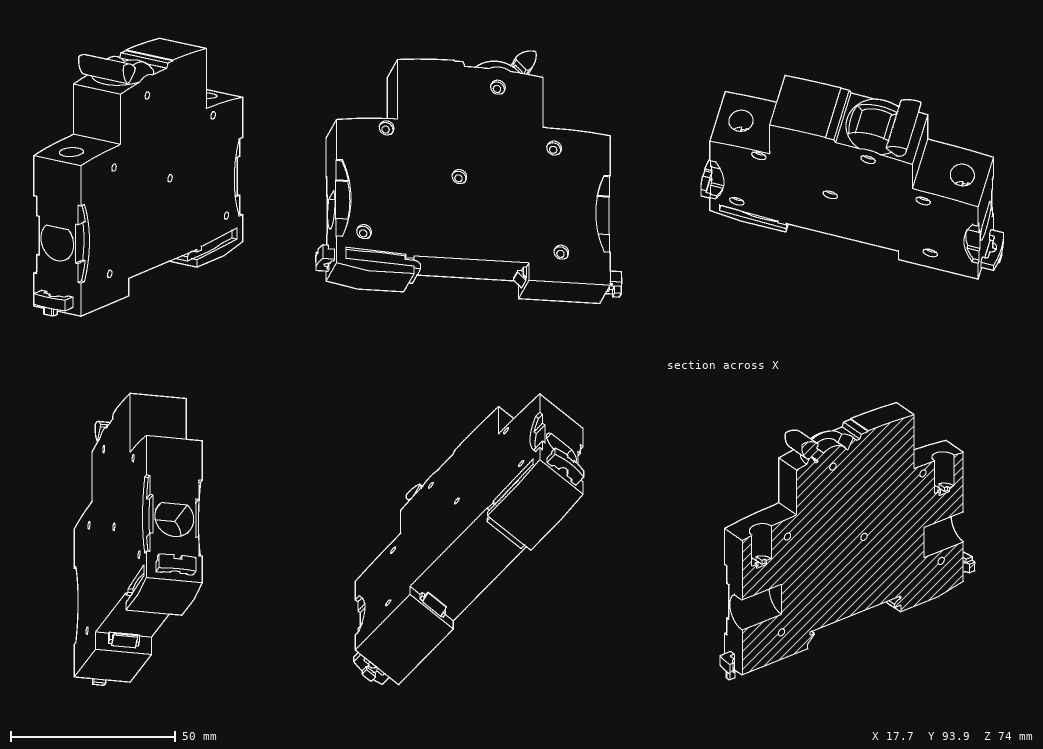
import cadquery as cq

width = 17.7
half_width = width / 2
total_length = 93.9
half_length = 42.35
rail_z = 5.6
rail_y_plus = 18.3
rail_y_minus = -17.2
chamfer_y = 32.5
chamfer_z = 2.0
shoulder_root_z = 49.6
shoulder_crease_y = 23.5
shoulder_z = 49.4
shoulder_mid_y = 33.8
shoulder_mid_z = 49.0
shoulder_end_z = 48.1
tower_y_plus = 23.5
tower_y_minus = -21.6
tower_back_z = 68.55
crest_mid_y = 14.6
crest_mid_z = 69.2
crest_y = 5.8
crest_z = 69.4
ledge_z = 69.1
ledge_y = 3.2
slope_top_y = 2.6
slope_top_z = 67.6
slope_mid_y = -9.4
slope_mid_z = 67.0
tower_front_z = 65.5

rivet_centres = [(-7.6, 61.5), (26.9, 46.3), (-25.0, 43.0), (4.3, 32.0), (33.8, 12.5), (-27.2, 9.7)]
rivet_radius = 1.1
rivet_head_radius = 2.3
rivet_head_depth = 1.6

grip_mid_z = 22.9
grip_half_height = 12.3
grip_end_depth = 1.9
grip_mid_depth = 4.5
grip_thickness = 1.1
grip_core_thickness = 2.1
grip_core_top = 29.0
grip_core_bottom = 16.6

terminal_radius = 6.1
terminal_z = 22.3
terminal_flat_z = 26.8
terminal_depth = 15.0
screw_y = 34.9
screw_radius = 3.7
screw_head_z = 37.6
screw_slot_width = 1.5
screw_cross_length = 3.8
screw_slot_depth = 1.4

pivot_y = -7.7
dome_z = 61.3
dome_radius = 11.1
pivot_z = 62.2
slot_half_width = 5.0
slot_back_reach = 7.9
slot_front_reach = 8.6
slot_end_run = 2.2
slot_floor_z = 65.4
slot_top_z = 69.1
drum_radius = 6.6
lever_angle = 45.0
stem_width = 9.2
stem_thickness = 3.0
bar_width = 16.7
bar_base = 10.1
bar_corner = 10.6
bar_belly = 13.7
bar_edge = 16.2
bar_tip = 16.4
bar_base_half = 2.2
bar_corner_half = 2.8
bar_belly_half = 2.35
bar_edge_half = 0.5

clip_width = 11.6
clip_bow = 0.75
clip_minus_reach = 4.8
clip_plus_reach = total_length - 2 * half_length - clip_minus_reach
clip_minus_bottom = 2.3
clip_plus_bottom = 4.1
clip_plus_neck_top = 7.3
clip_plus_lip_top = 8.5
clip_plus_lip = 2.4
lip_gap = 2.5
notch_width = 7.8
notch_radius = 1.6
notch_minus_reach = 1.7
notch_plus_reach = 0.7
notch_corner = 0.5
tab_width = 3.8
tab_length = 2.2
tab_chamfer_y = 0.2
tab_chamfer_x = 0.6

slider_y = 39.3
slider_tip_y = 16.0
slider_step_y = 20.8
slider_top_z = 7.1
slider_step_top_z = 6.0
slider_step_z = 4.9
slider_nose_y = 16.9
slider_nose_z = 4.5
slider_tip_top_z = 3.6
slider_tip_z = 2.3
slider_bottom_z = 3.6
slider_inset = 1.9
slider_grip_inset = 1.1
slider_grip_start = 34.2
slider_grip_y_plus = 29.1
slider_grip_y_minus = 25.8

hook_width = 7.5
hook_tip_y = -14.65
hook_tip_z = 4.2
hook_top_z = 4.7
hook_back_y = -16.2
hook_bottom_z = 1.7
hook_plate_width = 9.4
hook_plate_front_z = 3.3
hook_plate_back_z = 2.35


def centred_prism(outline, thickness):
    """Extrude a YZ outline symmetrically about the middle plane."""
    return outline.extrude(thickness / 2, both=True)


def box(x_size, y_range, z_range):
    """Box centred on X, spanning the given Y and Z ranges."""
    y_size = y_range[1] - y_range[0]
    z_size = z_range[1] - z_range[0]
    block = cq.Workplane("XY").box(x_size, y_size, z_size, centered=(True, False, False))
    return block.translate((0, y_range[0], z_range[0]))


def make_housing():
    outline = (
        cq.Workplane("YZ")
        .moveTo(-half_length, 0)
        .lineTo(rail_y_minus, 0)
        .lineTo(rail_y_minus, rail_z)
        .lineTo(rail_y_plus, rail_z)
        .lineTo(rail_y_plus, 0)
        .lineTo(chamfer_y, 0)
        .lineTo(half_length, chamfer_z)
        .lineTo(half_length, shoulder_end_z)
        .threePointArc((shoulder_mid_y, shoulder_mid_z), (shoulder_crease_y, shoulder_z))
        .lineTo(tower_y_plus, tower_back_z)
        .threePointArc((crest_mid_y, crest_mid_z), (crest_y, crest_z))
        .lineTo(crest_y, ledge_z)
        .lineTo(ledge_y, ledge_z)
        .lineTo(slope_top_y, slope_top_z)
        .threePointArc((slope_mid_y, slope_mid_z), (tower_y_minus, tower_front_z))
        .lineTo(tower_y_minus, shoulder_root_z)
        .lineTo(-shoulder_crease_y, shoulder_z)
        .threePointArc((-shoulder_mid_y, shoulder_mid_z), (-half_length, shoulder_end_z))
        .close()
    )
    return centred_prism(outline, width)


def make_rivet_holes():
    """Through holes with head recesses in the -X side."""
    side = cq.Workplane("YZ", origin=(-half_width, 0, 0)).pushPoints(rivet_centres)
    return side.circle(rivet_radius).extrude(width).union(
        side.circle(rivet_head_radius).extrude(rivet_head_depth)
    )


def make_grip(y_sign, x_sign):
    """Arc-backed recess at one vertical edge, deeper in its middle band."""
    end_y = y_sign * (half_length - grip_end_depth)
    mid_y = y_sign * (half_length - grip_mid_depth)
    bottom = grip_mid_z - grip_half_height
    top = grip_mid_z + grip_half_height
    face_x = x_sign * half_width
    recess = (
        cq.Workplane("YZ", origin=(face_x, 0, 0))
        .moveTo(y_sign * half_length, bottom)
        .lineTo(end_y, bottom)
        .threePointArc((mid_y, grip_mid_z), (end_y, top))
        .lineTo(y_sign * half_length, top)
        .close()
        .extrude(-x_sign * grip_core_thickness)
    )
    shallow = box(2 * grip_thickness, (-half_length, half_length), (bottom, top)).translate((face_x, 0, 0))
    core = box(width, (-half_length, half_length), (grip_core_bottom, grip_core_top))
    return recess.intersect(shallow.union(core.translate((face_x, 0, 0))))


def make_terminal(y_sign):
    """Flat-topped wire entry and the screw well above it, with a cross-slotted head."""
    inner_y = half_length - terminal_depth
    wire = (
        cq.Workplane("XZ", origin=(0, -inner_y, terminal_z))
        .circle(terminal_radius)
        .extrude(terminal_depth)
        .intersect(box(width, (-half_length, -inner_y), (0, terminal_flat_z)))
    )
    well = (
        cq.Workplane("XY", origin=(0, -screw_y, screw_head_z))
        .circle(screw_radius)
        .extrude(shoulder_root_z - screw_head_z)
    )
    slots = (
        cq.Workplane("XY", origin=(0, -screw_y, screw_head_z))
        .rect(2 * screw_radius, screw_slot_width)
        .extrude(-screw_slot_depth)
        .union(
            cq.Workplane("XY", origin=(0, -screw_y, screw_head_z))
            .rect(screw_slot_width, screw_cross_length)
            .extrude(-screw_slot_depth)
        )
        .intersect(well.translate((0, 0, -screw_slot_depth)))
    )
    terminal = wire.union(well).union(slots)
    return terminal if y_sign < 0 else terminal.mirror("XZ")


def add_toggle(part):
    """Dome with a central slot, holding a drum and a tilted lever."""
    dome = cq.Workplane("XY", origin=(0, pivot_y, dome_z)).sphere(dome_radius)
    dome = dome.intersect(box(width, (tower_y_minus, tower_y_plus), (dome_z, dome_z + dome_radius)))
    slot_outline = (
        cq.Workplane("YZ", origin=(0, pivot_y, 0))
        .moveTo(slot_end_run - slot_front_reach, slot_floor_z)
        .lineTo(slot_back_reach - slot_end_run, slot_floor_z)
        .lineTo(slot_back_reach, slot_top_z)
        .lineTo(slot_back_reach, dome_z + dome_radius)
        .lineTo(-slot_front_reach, dome_z + dome_radius)
        .lineTo(-slot_front_reach, slot_top_z)
        .close()
    )
    slot = centred_prism(slot_outline, 2 * slot_half_width)
    drum = centred_prism(cq.Workplane("YZ", origin=(0, pivot_y, pivot_z)).circle(drum_radius), 2 * slot_half_width)
    return part.union(dome).cut(slot).union(drum).union(make_lever())


def make_lever():
    """Stem and rounded finger bar, drawn upright on the pivot and then tilted."""
    stem = box(stem_width, (-stem_thickness / 2, stem_thickness / 2), (0, bar_belly))
    bar_outline = (
        cq.Workplane("YZ")
        .moveTo(-bar_base_half, bar_base)
        .lineTo(bar_base_half, bar_base)
        .lineTo(bar_corner_half, bar_corner)
        .threePointArc((bar_belly_half, bar_belly), (bar_edge_half, bar_edge))
        .threePointArc((0, bar_tip), (-bar_edge_half, bar_edge))
        .threePointArc((-bar_belly_half, bar_belly), (-bar_corner_half, bar_corner))
        .close()
    )
    lever = stem.union(centred_prism(bar_outline, bar_width))
    return lever.rotate((0, 0, 0), (1, 0, 0), lever_angle).translate((0, pivot_y, pivot_z))


def clip_plate(reach, bottom, top):
    """Plate standing out of the -Y end, with a bowed outer edge."""
    outer_y = -half_length - reach
    corner_y = outer_y + clip_bow
    return (
        cq.Workplane("XY", origin=(0, 0, bottom))
        .moveTo(-clip_width / 2, -half_length)
        .lineTo(-clip_width / 2, corner_y)
        .threePointArc((0, outer_y), (clip_width / 2, corner_y))
        .lineTo(clip_width / 2, -half_length)
        .close()
        .extrude(top - bottom)
    )


def clip_notch(reach, bottom, top):
    """Wide opening against the housing with a round relief at its middle."""
    edge_y = -half_length - reach
    relief = (
        cq.Workplane("XY", origin=(0, edge_y, bottom))
        .circle(notch_radius)
        .extrude(top - bottom)
        .intersect(box(width, (edge_y - notch_radius, -half_length), (bottom, top)))
    )
    opening = box(notch_width, (edge_y, -half_length), (bottom, top))
    return opening.edges("|Z and <Y").fillet(notch_corner).union(relief)


def make_minus_clip():
    outer_y = -half_length - clip_minus_reach
    plate = clip_plate(clip_minus_reach, clip_minus_bottom, rail_z)
    plate = plate.cut(clip_notch(notch_minus_reach, clip_minus_bottom, rail_z))
    tab = box(tab_width, (outer_y, outer_y + tab_length), (0, clip_minus_bottom))
    return plate.union(tab.faces("<Y").edges("|Z").chamfer(tab_chamfer_y, tab_chamfer_x))


def make_plus_clip():
    outer_y = -half_length - clip_plus_reach
    lip_y = outer_y + clip_plus_lip
    neck = clip_plate(clip_plus_reach, clip_plus_bottom, clip_plus_neck_top)
    neck = neck.cut(clip_notch(notch_plus_reach, clip_plus_bottom, clip_plus_neck_top))
    lip_range = (clip_plus_neck_top, clip_plus_lip_top)
    lip = clip_plate(clip_plus_reach, *lip_range).intersect(box(clip_width, (outer_y, lip_y), lip_range))
    lip = lip.cut(box(lip_gap, (outer_y, lip_y), lip_range))
    return neck.union(lip).mirror("XZ")


def add_slider(part):
    """Rail latch lying slightly below the housing sides, its nose reaching into the channel."""
    outline = (
        cq.Workplane("YZ")
        .moveTo(slider_y, slider_top_z)
        .lineTo(slider_step_y, slider_step_top_z)
        .lineTo(slider_step_y, slider_step_z)
        .lineTo(rail_y_plus, slider_step_z)
        .threePointArc((slider_nose_y, slider_nose_z), (slider_tip_y, slider_tip_top_z))
        .lineTo(slider_tip_y, slider_tip_z)
        .lineTo(slider_y, slider_bottom_z)
        .close()
    )
    pocket = centred_prism(outline, width)
    inner_x = half_width - slider_inset
    grip_x = half_width - slider_grip_inset
    half_plan = [
        (0, slider_y),
        (inner_x, slider_y),
        (inner_x, slider_grip_start),
        (grip_x, slider_grip_y_plus),
        (grip_x, slider_grip_y_minus),
        (inner_x, slider_tip_y),
        (0, slider_tip_y),
    ]
    half_slider = cq.Workplane("XY").polyline(half_plan).close().extrude(slider_top_z)
    slider = half_slider.union(half_slider.mirror("YZ")).intersect(pocket)
    return part.cut(pocket).union(slider)


def make_hook():
    """Pointed spring hook in front of a wider backing plate."""
    outline = (
        cq.Workplane("YZ")
        .moveTo(rail_y_minus, hook_bottom_z)
        .lineTo(hook_tip_y, hook_tip_z)
        .lineTo(hook_tip_y, hook_top_z)
        .lineTo(hook_back_y, hook_top_z)
        .lineTo(hook_back_y, rail_z)
        .lineTo(rail_y_minus, rail_z)
        .close()
    )
    plate_outline = (
        cq.Workplane("YZ")
        .moveTo(rail_y_minus, hook_plate_back_z)
        .lineTo(hook_back_y, hook_plate_front_z)
        .lineTo(hook_back_y, rail_z)
        .lineTo(rail_y_minus, rail_z)
        .close()
    )
    plate = centred_prism(plate_outline, hook_plate_width)
    return centred_prism(outline, hook_width).union(plate)


result = make_housing()
result = add_toggle(result)
for y_sign in (-1, 1):
    result = result.cut(make_terminal(y_sign))
    for x_sign in (-1, 1):
        result = result.cut(make_grip(y_sign, x_sign))
result = add_slider(result)
result = result.union(make_minus_clip()).union(make_plus_clip()).union(make_hook())
result = result.cut(make_rivet_holes())